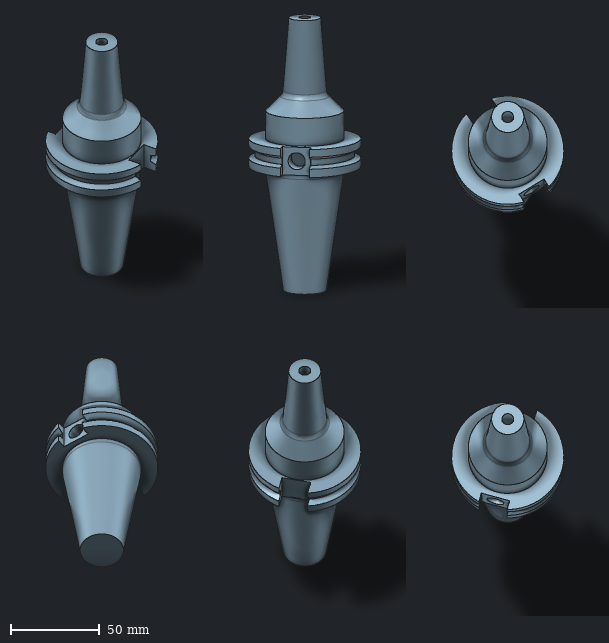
import cadquery as cq
import math

total_height = 157.2
taper_length = 68.4
flange_bottom = 71.3
flange_top = 87.5
flange_middle = (flange_bottom + flange_top) / 2
shoulder_height = 103.5

gauge_diameter = 44.5
gauge_radius = gauge_diameter / 2
shank_taper_ratio = 7 / 24
shank_end_radius = gauge_radius - taper_length * shank_taper_ratio / 2
nose_tip_radius = 9.1
nose_half_angle = 4.5
nose_slope = math.tan(math.radians(nose_half_angle))
nose_fillet_radius = 5.0
bore_diameter = 6.5
bore_depth = 36.0

nose_base_height = (
    gauge_radius + shoulder_height - nose_tip_radius - nose_slope * total_height
) / (1 - nose_slope)
nose_base_radius = gauge_radius + shoulder_height - nose_base_height

flange_radius = 31.7
groove_radius = 28.1
groove_mouth_bottom = 76.2
groove_floor_bottom = 77.6
groove_floor_top = 81.2
groove_mouth_top = 83.1

slot_width = 16.5
left_slot_floor = 25.3
right_slot_floor = 22.6
dimple_diameter = 9.7
dimple_depth = 9.9


def turned_body():
    """Revolve the half profile, then round the foot of the nose."""
    profile = (
        cq.Workplane("XZ")
        .moveTo(0, 0)
        .lineTo(shank_end_radius, 0)
        .lineTo(gauge_radius, taper_length)
        .lineTo(gauge_radius, flange_bottom)
        .lineTo(flange_radius, flange_bottom)
        .lineTo(flange_radius, groove_mouth_bottom)
        .lineTo(groove_radius, groove_floor_bottom)
        .lineTo(groove_radius, groove_floor_top)
        .lineTo(flange_radius, groove_mouth_top)
        .lineTo(flange_radius, flange_top)
        .lineTo(gauge_radius, flange_top)
        .lineTo(gauge_radius, shoulder_height)
        .lineTo(nose_base_radius, nose_base_height)
        .lineTo(nose_tip_radius, total_height)
        .lineTo(0, total_height)
        .close()
    )
    body = profile.revolve(360, (0, 0, 0), (0, 1, 0))
    nose_foot = cq.selectors.NearestToPointSelector((0, 0, nose_base_height))
    return body.edges("%CIRCLE").edges(nose_foot).fillet(nose_fillet_radius)


def drive_slot(side, floor_distance):
    """Slot through the full flange height; side is -1 or +1 along X."""
    depth = flange_radius - floor_distance
    center_x = side * (floor_distance + depth / 2)
    height = flange_top - flange_bottom
    return cq.Workplane("XY").box(depth, slot_width, height).translate((center_x, 0, flange_middle))


def nose_bore():
    return (
        cq.Workplane("XY")
        .workplane(offset=total_height - bore_depth)
        .circle(bore_diameter / 2)
        .extrude(bore_depth)
    )


def slot_dimple():
    """Blind round hole in the floor of the left slot."""
    return (
        cq.Workplane("YZ", origin=(-left_slot_floor, 0, flange_middle))
        .circle(dimple_diameter / 2)
        .extrude(dimple_depth)
    )


result = (
    turned_body()
    .cut(drive_slot(-1, left_slot_floor))
    .cut(drive_slot(1, right_slot_floor))
    .cut(nose_bore())
    .cut(slot_dimple())
)